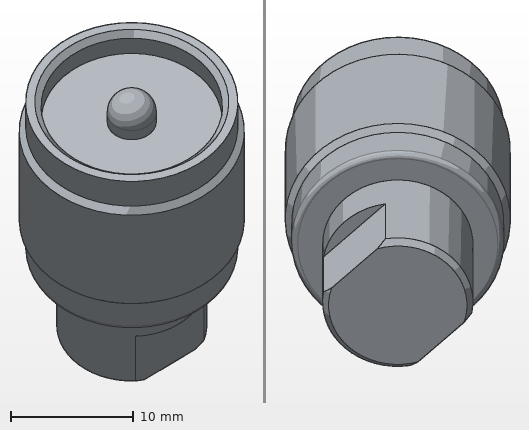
import cadquery as cq

total_height = 28.7

neck_radius = 6.15
neck_bottom_chamfer = 0.5
flat_half_spacing = 5.0
flat_height = 6.0

sleeve_bottom = 9.61
sleeve_top = 27.95
sleeve_radius = 8.67
sleeve_bottom_fillet = 0.5

band_diameter = 18.4
band_radius = band_diameter / 2
band_bottom = 12.95
band_top = 24.9
shoulder_height = band_radius - sleeve_radius

socket_radius = 7.4
socket_floor = 25.57
socket_chamfer = 0.52

pin_radius = 2.0


def cylinder(radius, bottom, top):
    """Upright cylinder on the Z axis between two heights."""
    return cq.Workplane("XY").workplane(offset=bottom).circle(radius).extrude(top - bottom)


def make_neck():
    """Round neck with two wrench flats facing -X and +X."""
    neck = cylinder(neck_radius, 0, sleeve_bottom).faces("<Z").chamfer(neck_bottom_chamfer)
    cut_depth = neck_radius - flat_half_spacing
    for side in (-1, 1):
        flat_cut = cq.Workplane("XY").box(
            cut_depth, 2 * neck_radius, flat_height, centered=(True, True, False)
        )
        neck = neck.cut(flat_cut.translate((side * (flat_half_spacing + cut_depth / 2), 0, 0)))
    return neck


def make_sleeve():
    """Sleeve with a rounded lower edge, the grip band and a chamfered socket."""
    sleeve = cylinder(sleeve_radius, sleeve_bottom, sleeve_top)
    sleeve = sleeve.faces("<Z").edges().fillet(sleeve_bottom_fillet)
    band = cylinder(band_radius, band_bottom, band_top)
    band = band.faces("<Z or >Z").chamfer(shoulder_height)
    socket = cylinder(socket_radius, socket_floor, sleeve_top)
    body = sleeve.union(band).cut(socket)
    socket_rim = cq.selectors.RadiusNthSelector(0)
    return body.faces(">Z").edges(socket_rim).chamfer(socket_chamfer)


def make_pin():
    """Pin standing on the socket floor."""
    pin = cylinder(pin_radius, socket_floor, total_height - pin_radius)
    tip = cq.Workplane("XY").sphere(pin_radius).translate((0, 0, total_height - pin_radius))
    return pin.union(tip)


result = make_neck().union(make_sleeve()).union(make_pin())